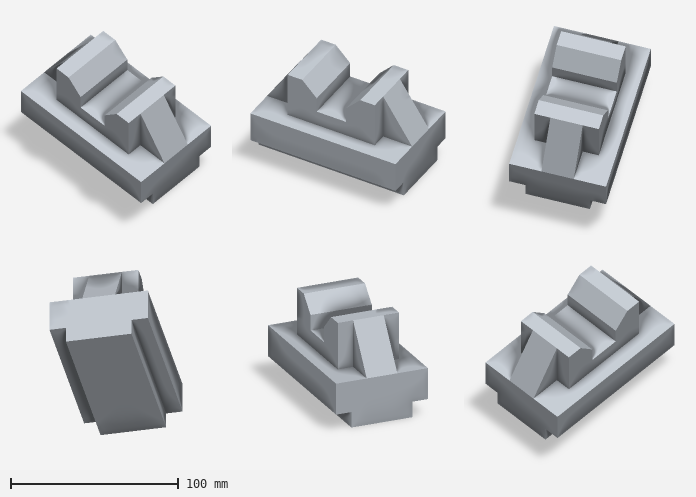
import cadquery as cq

length = 100.0
base_width = 60.0
base_height = 20.0
tongue_width = 40.0
tongue_height = 10.0

saddle_length = 60.0
saddle_width = 40.0
saddle_height = 30.0
slot_width = 20.0
slot_depth = 20.0
slot_chamfer = 10.0

rib_width = 20.0

base_top = tongue_height + base_height
top = base_top + saddle_height


def centered_box(size_x, size_y, height, bottom):
    """Box centered in X and Y, standing on the given Z level."""
    box = cq.Workplane("XY").box(size_x, size_y, height, centered=(True, True, False))
    return box.translate((0, 0, bottom))


def slot_cutter():
    """Slot along Y with chamfered upper edges."""
    half_slot = slot_width / 2
    half_mouth = half_slot + slot_chamfer
    slot_floor = top - slot_depth
    chamfer_bottom = top - slot_chamfer
    outline = [
        (-half_slot, slot_floor),
        (half_slot, slot_floor),
        (half_slot, chamfer_bottom),
        (half_mouth, top),
        (-half_mouth, top),
        (-half_slot, chamfer_bottom),
    ]
    return cq.Workplane("XZ").polyline(outline).close().extrude(saddle_width / 2, both=True)


def end_ribs():
    """Trapezoid through the saddle whose sloping ends form both ribs."""
    outline = [
        (-length / 2, base_top),
        (length / 2, base_top),
        (saddle_length / 2, top),
        (-saddle_length / 2, top),
    ]
    return cq.Workplane("XZ").polyline(outline).close().extrude(rib_width / 2, both=True)


tongue = centered_box(length, tongue_width, tongue_height, 0)
base = centered_box(length, base_width, base_height, tongue_height)
saddle = centered_box(saddle_length, saddle_width, saddle_height, base_top)

result = tongue.union(base).union(saddle).union(end_ribs()).cut(slot_cutter())